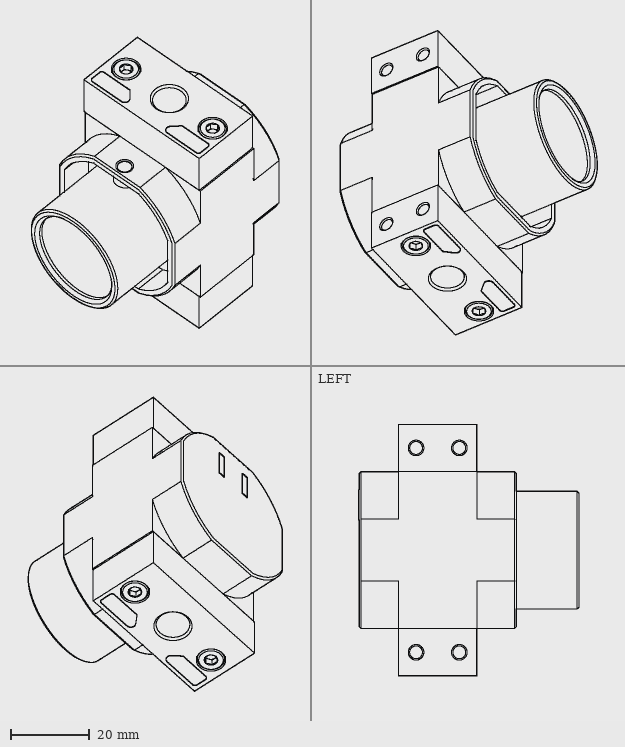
import cadquery as cq
import math

HEIGHT = 64.0
BLOCK = 40.0
PLATE_DEPTH = BLOCK / 2
COLLAR_DIA = 43.0
COLLAR_CHAMFER = 0.5

POCKET_WIDTH = 35.85
POCKET_DIA = 39.1
POCKET_DEPTH = 9.0

MARK_WIDTH = 1.9
MARK_HEIGHT = 7.7
MARK_RISE = 0.2
MARK_X = 4.55
MARK_Z = 11.5

KNOB_DIA = 30.0
KNOB_PROJECTION = 16.0
KNOB_CHAMFER = 0.5
DISH_RIM_DIA = 26.75
DISH_FLOOR_DIA = 25.1
DISH_BEVEL = 0.95
DISH_DEPTH = 1.8

PIN_TIP_DIA = 3.8
PIN_MOUTH_DIA = 4.55
PIN_TOP_INSET = 0.2
PIN_BODY_DIA = 5.75
PIN_INSET = 3.25
PIN_ENTRY = 1.3

BORE_DIA = 8.6
BORE_MOUTH_DIA = 9.7

CAP_SHIFT = -0.4

SCREW_SPACING = 30.0
HEAD_DIA = 7.0
HEAD_TOP_DIA = 6.3
HEAD_HEIGHT = 4.0
HEAD_RECESS_DIA = 7.5
SHANK_DIA = 4.0
SHANK_LENGTH = 20.0
SOCKET_FLATS = 3.0
SOCKET_SIDES = 6
SOCKET_MOUTH_DIA = 3.45
SOCKET_DEPTH = 2.0

SIDE_HOLE_DIA = 3.25
SIDE_HOLE_MOUTH_DIA = 4.0
SIDE_HOLE_SPACING = 11.0
SIDE_HOLE_DEPTH = 8.0
DRILL_TIP_ANGLE = 118.0

LABEL_OUTER = 18.8
LABEL_INNER = 9.1
LABEL_TIP = 5.0
LABEL_FAR = 8.95
LABEL_NEAR = 4.6
LABEL_RADIUS = 0.8
LABEL_TIP_RADIUS = 1.3
LABEL_DEPTH = 0.2

half_block = BLOCK / 2
cap_top = HEIGHT / 2
cap_height = cap_top - half_block
cap_middle = half_block + cap_height / 2
collar_front = -half_block
collar_back = -collar_front
pocket_floor = collar_front + POCKET_DEPTH
knob_front = collar_front - KNOB_PROJECTION
knob_length = pocket_floor - knob_front
pin_y = collar_front + PIN_INSET
pin_bottom = KNOB_DIA / 2 - PIN_ENTRY
pin_shoulder = POCKET_WIDTH / 2
pin_mouth_depth = (PIN_MOUTH_DIA - PIN_TIP_DIA) / 2
countersink_floor = half_block - pin_mouth_depth
pin_top = half_block - PIN_TOP_INSET
screw_places = [-SCREW_SPACING / 2, SCREW_SPACING / 2]
head_seat = cap_top - HEAD_HEIGHT
shank_end = head_seat - SHANK_LENGTH


def cone(low_dia, high_dia, height, place, direction):
    """Truncated cone from low_dia at place to high_dia, height away along direction."""
    solid = cq.Solid.makeCone(low_dia / 2, high_dia / 2, height, cq.Vector(*place), cq.Vector(*direction))
    return cq.Workplane(obj=solid)


def rod(dia, low, high, x=0, y=0):
    """Vertical cylinder between two heights."""
    return cq.Workplane(origin=(x, y, low)).circle(dia / 2).extrude(high - low)


def drill_tip(dia, place, direction):
    """Pointed cone left by a drill at the bottom of a blind hole."""
    length = dia / 2 / math.tan(math.radians(DRILL_TIP_ANGLE / 2))
    return cone(dia, 0, length, place, direction)


def rounded_square(width, dia, front, back):
    """Square bar along Y whose corners are rounded by a concentric circle."""
    plane = cq.Workplane("XZ", origin=(0, back, 0))
    square = plane.rect(width, width).extrude(back - front)
    disc = plane.circle(dia / 2).extrude(back - front)
    return square.intersect(disc)


def make_housing():
    """Square plate with a chamfered collar on both sides and a pocket in the front collar."""
    collar = rounded_square(BLOCK, COLLAR_DIA, collar_front, collar_back)
    collar = collar.faces("<Y or >Y").chamfer(COLLAR_CHAMFER)
    body = collar.union(cq.Workplane().box(BLOCK, PLATE_DEPTH, BLOCK))
    body = body.cut(rounded_square(POCKET_WIDTH, POCKET_DIA, collar_front, pocket_floor))
    for side in (-1, 1):
        mark = cq.Workplane().box(MARK_WIDTH, 2 * MARK_RISE, MARK_HEIGHT)
        body = body.union(mark.translate((side * MARK_X, collar_back, MARK_Z)))
    body = body.cut(rod(BORE_DIA, -half_block, half_block))
    body = body.cut(rod(PIN_TIP_DIA, pin_shoulder, half_block, y=pin_y))
    countersink_place = (0, pin_y, countersink_floor)
    body = body.cut(cone(PIN_TIP_DIA, PIN_MOUTH_DIA, pin_mouth_depth, countersink_place, (0, 0, 1)))
    for x in screw_places:
        body = body.cut(rod(SHANK_DIA, shank_end, half_block, x))
        body = body.cut(rod(SHANK_DIA, -half_block, -shank_end, x))
    return body


def make_pin():
    """Stepped pin, narrow in the collar wall and wide between collar and knob."""
    body = rod(PIN_BODY_DIA, pin_bottom, pin_shoulder, y=pin_y)
    return body.union(rod(PIN_TIP_DIA, pin_shoulder, pin_top, y=pin_y))


def make_knob(pin):
    """Round knob standing on the pocket floor, with a dished face and a seat for the pin."""
    body = cq.Workplane("XZ", origin=(0, pocket_floor, 0)).circle(KNOB_DIA / 2).extrude(knob_length)
    body = body.faces("<Y").chamfer(KNOB_CHAMFER)
    body = body.faces("<Y").workplane().hole(DISH_FLOOR_DIA, DISH_DEPTH)
    body = body.cut(cone(DISH_RIM_DIA, DISH_FLOOR_DIA, DISH_BEVEL, (0, knob_front, 0), (0, 1, 0)))
    return body.cut(pin)


def make_label_recess():
    """Shallow tag shape on the -X half of the cap, slanted towards the middle."""
    outline = [
        (-LABEL_OUTER, -LABEL_FAR),
        (-LABEL_TIP, -LABEL_FAR),
        (-LABEL_INNER, -LABEL_NEAR),
        (-LABEL_OUTER, -LABEL_NEAR),
    ]
    tag = cq.Workplane(origin=(0, 0, cap_top - LABEL_DEPTH)).polyline(outline).close().extrude(LABEL_DEPTH)
    tag = tag.edges("|Z and <X").fillet(LABEL_RADIUS)
    return tag.edges("|Z and >X").fillet(LABEL_TIP_RADIUS)


def cut_side_hole(body, y):
    """Blind drilled hole with a countersunk mouth in the -X face."""
    face_x = CAP_SHIFT - half_block
    mouth_depth = (SIDE_HOLE_MOUTH_DIA - SIDE_HOLE_DIA) / 2
    mouth_place = (face_x, y, cap_middle)
    drill = cq.Workplane("YZ", origin=mouth_place).circle(SIDE_HOLE_DIA / 2).extrude(SIDE_HOLE_DEPTH)
    tip = drill_tip(SIDE_HOLE_DIA, (face_x + SIDE_HOLE_DEPTH, y, cap_middle), (1, 0, 0))
    mouth = cone(SIDE_HOLE_MOUTH_DIA, SIDE_HOLE_DIA, mouth_depth, mouth_place, (1, 0, 0))
    return body.cut(drill).cut(tip).cut(mouth)


def make_top_cap():
    """Rectangular cap above the housing with bore, screw holes, labels and side holes."""
    body = cq.Workplane().box(BLOCK, PLATE_DEPTH, cap_height).translate((CAP_SHIFT, 0, cap_middle))
    bore_mouth_depth = (BORE_MOUTH_DIA - BORE_DIA) / 2
    body = body.cut(rod(BORE_DIA, half_block, cap_top))
    body = body.cut(cone(BORE_MOUTH_DIA, BORE_DIA, bore_mouth_depth, (0, 0, cap_top), (0, 0, -1)))
    for x in screw_places:
        body = body.cut(rod(SHANK_DIA, half_block, cap_top, x))
        body = body.cut(rod(HEAD_RECESS_DIA, head_seat, cap_top, x))
    label = make_label_recess()
    for tag in (label, label.mirror("YZ")):
        body = body.cut(tag.translate((CAP_SHIFT, 0, 0)))
    for y in (-SIDE_HOLE_SPACING / 2, SIDE_HOLE_SPACING / 2):
        body = cut_side_hole(body, y)
    return body


def make_top_screw(x):
    """Socket head screw, flush with the top of the cap."""
    head_chamfer = (HEAD_DIA - HEAD_TOP_DIA) / 2
    body = rod(HEAD_DIA, head_seat, cap_top, x).faces(">Z").chamfer(head_chamfer)
    body = body.union(rod(SHANK_DIA, shank_end, head_seat, x))
    half_side_angle = 180 / SOCKET_SIDES
    corner_dia = SOCKET_FLATS / math.cos(math.radians(half_side_angle))
    socket_floor = cap_top - SOCKET_DEPTH
    socket = cq.Workplane().polygon(SOCKET_SIDES, corner_dia).extrude(SOCKET_DEPTH)
    socket = socket.rotate((0, 0, 0), (0, 0, 1), half_side_angle).translate((x, 0, socket_floor))
    mouth_depth = (SOCKET_MOUTH_DIA - SOCKET_FLATS) / 2
    mouth = cone(SOCKET_MOUTH_DIA, SOCKET_FLATS, mouth_depth, (x, 0, cap_top), (0, 0, -1))
    tip = drill_tip(SOCKET_FLATS, (x, 0, socket_floor), (0, 0, -1))
    return body.cut(socket).cut(mouth).cut(tip)


housing = make_housing()
pin = make_pin()
knob = make_knob(pin)
top_cap = make_top_cap()
caps = [top_cap, top_cap.mirror("XY")]
screws = []
for screw_x in screw_places:
    top_screw = make_top_screw(screw_x)
    screws += [top_screw, top_screw.mirror("XY")]

result = cq.Compound.makeCompound([body.val() for body in [housing, knob, pin, *caps, *screws]])